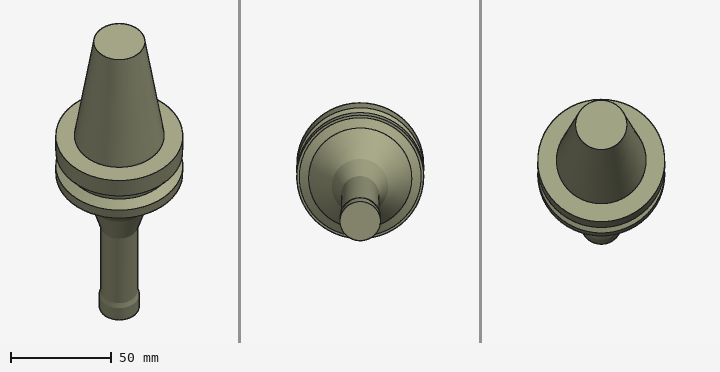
import cadquery as cq

total_length = 185.4

taper_tip_diameter = 25.4
taper_base_diameter = 44.5
flange_diameter = 63.0
groove_diameter = 53.0
flange_underside_diameter = 60.5
upper_cone_diameter = 51.2
lower_cone_diameter = 28.0
stem_diameter = 18.5
nose_diameter = 20.0

nose_top = 8.2
stem_bottom = 11.0
stem_top = 56.2
cone_joint = 72.9
upper_cone_top = 90.7
flange_bottom = 93.0
lower_rim_top = 98.6
groove_bottom = 101.5
groove_top = 105.3
upper_rim_bottom = 108.6
flange_top = 119.4
taper_base = 120.0

corners = [
    (nose_diameter, 0),
    (nose_diameter, nose_top),
    (stem_diameter, stem_bottom),
    (stem_diameter, stem_top),
    (lower_cone_diameter, cone_joint),
    (upper_cone_diameter, upper_cone_top),
    (flange_underside_diameter, flange_bottom),
    (flange_diameter, flange_bottom),
    (flange_diameter, lower_rim_top),
    (groove_diameter, groove_bottom),
    (groove_diameter, groove_top),
    (flange_diameter, upper_rim_bottom),
    (flange_diameter, flange_top),
    (taper_base_diameter, flange_top),
    (taper_base_diameter, taper_base),
    (taper_tip_diameter, total_length),
]

outline = [(0, 0)]
for diameter, height in corners:
    outline.append((diameter / 2, height))
outline.append((0, total_length))

result = cq.Workplane("XZ").polyline(outline).close().revolve(360, (0, 0, 0), (0, 1, 0))